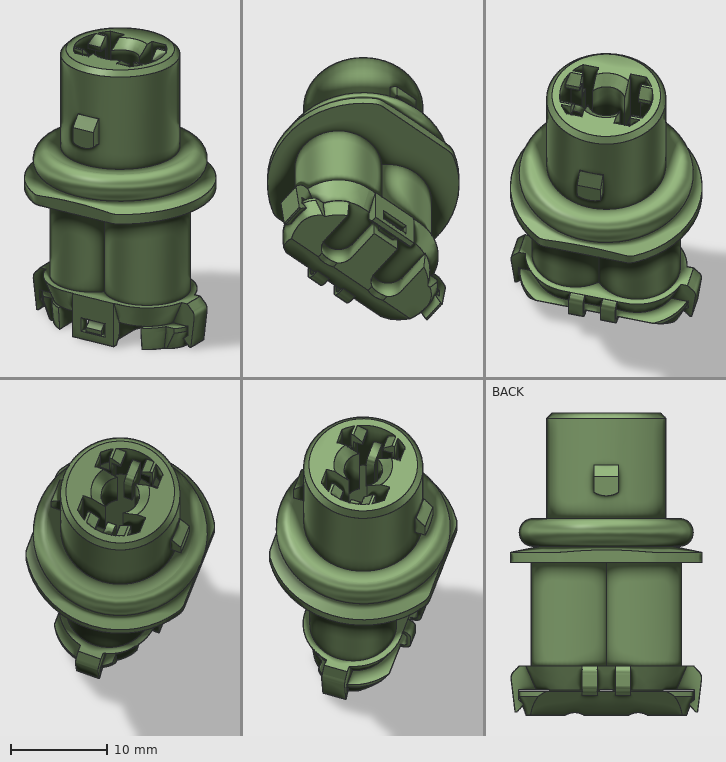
import cadquery as cq
import math

TOTAL_HEIGHT = 31.4
SMALL_OVERLAP = 0.15
CUT_MARGIN = 0.3

BARREL_DIAMETER = 12.4
BARREL_RADIUS = BARREL_DIAMETER / 2
BARREL_CHAMFER = 0.55
LUG_WIDTH = 2.5
LUG_REACH = 7.2
LUG_TOP_Z = 26.0
LUG_SLOPE_END_Z = 24.8
LUG_BOTTOM_Z = 22.8
LUG_BOTTOM_SIDE_Z = 23.15

RING_TUBE_RADIUS = 1.45
RING_OUTER_RADIUS = 9.05
RING_CENTRE_RADIUS = RING_OUTER_RADIUS - RING_TUBE_RADIUS
RING_CENTRE_Z = 19.0
FLANGE_RADIUS = 9.95
FLANGE_HALF_WIDTH = 8.73
FLANGE_CORNER_RADIUS = 1.8
FLANGE_BOTTOM_Z = 15.85
FLANGE_EDGE_Z = 16.92
FLANGE_TOP_Z = 17.55
FLANGE_CONE_TOP_RADIUS = 6.9

POCKET_RADIUS = 4.85
POCKET_HALF_WIDTH = 3.45
BRIDGE_HALF_WIDTH = 1.73
SLOT_OUTER_X = 3.15
SOCKET_DEPTH = 7.85
SHELF_DEPTH = 3.77
SHELF_INNER_Y = 2.4
BORE_RADIUS = 1.98
BORE_SINK_RADIUS = 3.05
BORE_SINK_DEPTH = 0.95
TOOTH_INNER_Y = 1.13
TOOTH_CREST_Y = 2.1
TOOTH_DROP = 0.95
TOOTH_DEPTH = 1.4
RAIL_WIDTH = 0.9
RAIL_TIP_X = 2.3
RAIL_TOP_DEPTH = 2.98

SHANK_RADIUS = 4.52
SHANK_CENTRE_X = 3.3
SHANK_BOTTOM_Z = 5.15

SKIRT_TOP_RADIUS = 5.2
SKIRT_BOTTOM_RADIUS = 4.18
SKIRT_BOTTOM_Z = 2.65

HOOK_HALF_WIDTH = 1.25
HOOK_STEP_Z = 1.63
HOOK_INNER_X = 9.1
HOOK_TOP_X = 9.05
HOOK_BEVEL_X = 9.7
HOOK_BEVEL_Z = 4.45
HOOK_SHOULDER_X = 9.85
HOOK_SHOULDER_Z = 4.15
HOOK_OUTER_X = 9.9
HOOK_OUTER_Z = 3.7
HOOK_TIP_OUTER_X = 9.48
HOOK_TIP_INNER_X = 9.3
HOOK_TIP_Z = 0.35
BARB_X = 8.55
BARB_Z = 1.15
PLATE_HALF_WIDTH = 2.55
PLATE_FACE_Y = -5.28
PLATE_BOTTOM_Z = 0.28
PLATE_BEVEL_Z = 1.22
PLATE_BEVEL_Y = -4.7
WINDOW_HALF_WIDTH = 1.48
WINDOW_BOTTOM_Z = 1.13

LID_TOP_Z = 2.48
LID_RIM_Z = 1.98
LID_RIM_RADIUS = 4.33
LID_BOTTOM_RADIUS = 4.15
RIB_FRONT_Y = -3.77
LID_BACK_TOP_Y = 4.95
LID_BACK_BOTTOM_Y = 2.07
TAB_RADIUS = 5.78
TAB_FOOT_RADIUS = 5.02
TAB_HALF_WIDTH = 2.2
TAB_SHOULDER_X = 8.05
TAB_FOOT_SHOULDER_X = 7.1
PEG_HALF_WIDTH = 0.95
PEG_TIP_Y = -5.15
PEG_TIP_Z = 1.63
PEG_BOTTOM_Z = 1.2
GUIDE_INNER_RADIUS = 1.75
GUIDE_OUTER_RADIUS = 2.6
CHANNEL_RADIUS = 1.88
CHANNEL_RISE = 0.28

STRAP_THICKNESS = 0.4
STRAP_OUTER_Y = 6.03
STRAP_INNER_X = 0.95
STRAP_OUTER_X = 2.5
STRAP_BEND_RADIUS = 0.95


def disc(radius, bottom_z, top_z, x=0.0, y=0.0):
    return cq.Workplane("XY", origin=(x, y, bottom_z)).circle(radius).extrude(top_z - bottom_z)


def block(x_range, y_range, z_range):
    lengths = [end - start for start, end in (x_range, y_range, z_range)]
    corner = (x_range[0], y_range[0], z_range[0])
    return cq.Workplane("XY").box(*lengths, centered=False).translate(corner)


def oblong(radius, z):
    """Sketch an oblong with its end centres on the shank cylinder axes."""
    plane = cq.Workplane("XY", origin=(0, 0, z))
    return plane.slot2D(2 * (SHANK_CENTRE_X + radius), 2 * radius)


def tapered_oblong(top_radius, bottom_radius, top_z, bottom_z):
    height = top_z - bottom_z
    angle = math.degrees(math.atan((top_radius - bottom_radius) / height))
    return oblong(top_radius, top_z).extrude(-height, taper=angle)


def mirrored_x(shape):
    return shape.union(shape.mirror("YZ"))


def mirrored_y(shape):
    return shape.union(shape.mirror("XZ"))


def barrel():
    body = disc(BARREL_RADIUS, FLANGE_BOTTOM_Z, TOTAL_HEIGHT)
    return body.faces(">Z").chamfer(BARREL_CHAMFER)


def lugs():
    root = BARREL_RADIUS - SMALL_OVERLAP
    side_profile = (
        cq.Workplane("YZ", origin=(-LUG_WIDTH / 2, 0, 0))
        .polyline([
            (root, LUG_BOTTOM_Z),
            (LUG_REACH, LUG_BOTTOM_Z),
            (LUG_REACH, LUG_SLOPE_END_Z),
            (BARREL_RADIUS, LUG_TOP_Z),
            (root, LUG_TOP_Z),
        ])
        .close()
        .extrude(LUG_WIDTH)
    )
    front_profile = (
        cq.Workplane("XZ")
        .moveTo(-LUG_WIDTH / 2, LUG_TOP_Z)
        .lineTo(-LUG_WIDTH / 2, LUG_BOTTOM_SIDE_Z)
        .threePointArc((0, LUG_BOTTOM_Z), (LUG_WIDTH / 2, LUG_BOTTOM_SIDE_Z))
        .lineTo(LUG_WIDTH / 2, LUG_TOP_Z)
        .close()
        .extrude(-LUG_REACH)
    )
    return mirrored_y(side_profile.intersect(front_profile))


def sealing_ring():
    top_z = RING_CENTRE_Z + RING_TUBE_RADIUS
    bottom_z = RING_CENTRE_Z - RING_TUBE_RADIUS
    return (
        cq.Workplane("XZ")
        .moveTo(0, bottom_z)
        .lineTo(RING_CENTRE_RADIUS, bottom_z)
        .threePointArc((RING_OUTER_RADIUS, RING_CENTRE_Z), (RING_CENTRE_RADIUS, top_z))
        .lineTo(0, top_z)
        .close()
        .revolve(360, (0, 0), (0, 1))
    )


def flange():
    height = FLANGE_TOP_Z - FLANGE_BOTTOM_Z
    outline = disc(FLANGE_RADIUS, FLANGE_BOTTOM_Z, FLANGE_TOP_Z).intersect(
        cq.Workplane("XY", origin=(0, 0, FLANGE_BOTTOM_Z))
        .rect(2 * FLANGE_RADIUS + CUT_MARGIN, 2 * FLANGE_HALF_WIDTH)
        .extrude(height)
    )
    outline = outline.edges("|Z").fillet(FLANGE_CORNER_RADIUS)
    crown = (
        cq.Workplane("XZ")
        .polyline([
            (0, FLANGE_BOTTOM_Z),
            (FLANGE_RADIUS, FLANGE_BOTTOM_Z),
            (FLANGE_RADIUS, FLANGE_EDGE_Z),
            (FLANGE_CONE_TOP_RADIUS, FLANGE_TOP_Z),
            (0, FLANGE_TOP_Z),
        ])
        .close()
        .revolve(360, (0, 0), (0, 1))
    )
    return outline.intersect(crown)


def socket_cut():
    floor_z = TOTAL_HEIGHT - SOCKET_DEPTH
    depth_range = (floor_z, TOTAL_HEIGHT)
    outline = disc(POCKET_RADIUS, *depth_range)
    pocket = outline.intersect(
        block((BRIDGE_HALF_WIDTH, POCKET_RADIUS), (-POCKET_HALF_WIDTH, POCKET_HALF_WIDTH), depth_range)
    )

    tooth_bottom_z = TOTAL_HEIGHT - TOOTH_DEPTH
    tooth = (
        cq.Workplane("YZ", origin=(SLOT_OUTER_X, 0, 0))
        .polyline([
            (TOOTH_INNER_Y, TOTAL_HEIGHT - TOOTH_DROP),
            (TOOTH_CREST_Y, TOTAL_HEIGHT),
            (SHELF_INNER_Y, TOTAL_HEIGHT),
            (SHELF_INNER_Y, floor_z),
            (TOOTH_CREST_Y, floor_z),
            (TOOTH_CREST_Y, tooth_bottom_z),
            (TOOTH_INNER_Y, tooth_bottom_z),
        ])
        .close()
        .extrude(POCKET_RADIUS - SLOT_OUTER_X)
    )
    shelf = block(
        (SLOT_OUTER_X, POCKET_RADIUS),
        (SHELF_INNER_Y, POCKET_HALF_WIDTH),
        (floor_z, TOTAL_HEIGHT - SHELF_DEPTH),
    )
    rail_top_z = TOTAL_HEIGHT - RAIL_TOP_DEPTH
    rail = block((RAIL_TIP_X, POCKET_RADIUS), (-RAIL_WIDTH / 2, RAIL_WIDTH / 2), (floor_z, rail_top_z))
    rail = rail.edges("|Y and <X and >Z").fillet(SLOT_OUTER_X - RAIL_TIP_X)
    pocket = pocket.cut(mirrored_y(tooth.union(shelf))).cut(rail)

    bore = disc(BORE_RADIUS, *depth_range)
    sink = (
        cq.Workplane("XY", origin=(0, 0, TOTAL_HEIGHT - BORE_SINK_DEPTH))
        .circle(BORE_RADIUS)
        .workplane(offset=BORE_SINK_DEPTH)
        .circle(BORE_SINK_RADIUS)
        .loft()
    )
    bridge = block(
        (-BRIDGE_HALF_WIDTH, BRIDGE_HALF_WIDTH), (-POCKET_HALF_WIDTH, POCKET_HALF_WIDTH), depth_range
    )
    return mirrored_x(pocket).union(bore.union(sink).intersect(bridge))


def shank():
    return mirrored_x(
        disc(SHANK_RADIUS, SHANK_BOTTOM_Z - SMALL_OVERLAP, FLANGE_BOTTOM_Z + SMALL_OVERLAP, SHANK_CENTRE_X)
    )


def skirt():
    return tapered_oblong(SKIRT_TOP_RADIUS, SKIRT_BOTTOM_RADIUS, SHANK_BOTTOM_Z, SKIRT_BOTTOM_Z)


def side_hooks():
    root_x = SHANK_CENTRE_X + SKIRT_BOTTOM_RADIUS - SMALL_OVERLAP
    hook = (
        cq.Workplane("XZ", origin=(0, HOOK_HALF_WIDTH, 0))
        .moveTo(root_x, SHANK_BOTTOM_Z)
        .lineTo(HOOK_TOP_X, SHANK_BOTTOM_Z)
        .lineTo(HOOK_BEVEL_X, HOOK_BEVEL_Z)
        .threePointArc((HOOK_SHOULDER_X, HOOK_SHOULDER_Z), (HOOK_OUTER_X, HOOK_OUTER_Z))
        .lineTo(HOOK_TIP_OUTER_X, HOOK_TIP_Z)
        .lineTo(HOOK_TIP_INNER_X, HOOK_TIP_Z)
        .lineTo(BARB_X, BARB_Z)
        .lineTo(HOOK_INNER_X, HOOK_STEP_Z)
        .lineTo(HOOK_INNER_X, SKIRT_BOTTOM_Z)
        .lineTo(root_x, SKIRT_BOTTOM_Z)
        .close()
        .extrude(2 * HOOK_HALF_WIDTH)
    )
    return mirrored_x(hook)


def catch_plate():
    plate = (
        cq.Workplane("YZ", origin=(-PLATE_HALF_WIDTH, 0, 0))
        .polyline([
            (PLATE_FACE_Y, SHANK_BOTTOM_Z),
            (PLATE_FACE_Y, PLATE_BOTTOM_Z),
            (PLATE_BEVEL_Y, PLATE_BOTTOM_Z),
            (-SKIRT_BOTTOM_RADIUS, PLATE_BEVEL_Z),
            (-SKIRT_BOTTOM_RADIUS, SKIRT_BOTTOM_Z),
            (SMALL_OVERLAP - SKIRT_BOTTOM_RADIUS, SKIRT_BOTTOM_Z),
            (SMALL_OVERLAP - SKIRT_BOTTOM_RADIUS, SHANK_BOTTOM_Z),
        ])
        .close()
        .extrude(2 * PLATE_HALF_WIDTH)
    )
    window = block(
        (-WINDOW_HALF_WIDTH, WINDOW_HALF_WIDTH),
        (PLATE_FACE_Y, SMALL_OVERLAP - SKIRT_BOTTOM_RADIUS),
        (WINDOW_BOTTOM_Z, SKIRT_BOTTOM_Z),
    )
    return plate.cut(window)


def tab_outline(plane, shoulder_x, end_x):
    return (
        plane.moveTo(SHANK_CENTRE_X, -TAB_HALF_WIDTH)
        .lineTo(shoulder_x, -TAB_HALF_WIDTH)
        .threePointArc((end_x, 0), (shoulder_x, TAB_HALF_WIDTH))
        .lineTo(SHANK_CENTRE_X, TAB_HALF_WIDTH)
        .close()
    )


def lid_tab():
    """Round-nosed tab at the lid end, narrowing below the rim."""
    end_x = SHANK_CENTRE_X + TAB_RADIUS
    foot_x = SHANK_CENTRE_X + TAB_FOOT_RADIUS
    rim_plane = cq.Workplane("XY", origin=(0, 0, LID_RIM_Z))
    rim = tab_outline(rim_plane, TAB_SHOULDER_X, end_x).extrude(LID_TOP_Z - LID_RIM_Z)
    foot = tab_outline(cq.Workplane("XY"), TAB_FOOT_SHOULDER_X, foot_x)
    nose = tab_outline(foot.workplane(offset=LID_RIM_Z), TAB_SHOULDER_X, end_x).loft(ruled=True)
    return rim.union(nose)


def lid_back_corner():
    """Conical rear corner of the lid."""
    cone = (
        cq.Workplane("XZ")
        .polyline([
            (0, 0),
            (TAB_FOOT_RADIUS, 0),
            (TAB_RADIUS, LID_RIM_Z),
            (TAB_RADIUS, LID_TOP_Z),
            (0, LID_TOP_Z),
        ])
        .close()
        .revolve(360, (0, 0), (0, 1))
    )
    quarter = block((0, TAB_RADIUS), (0, LID_BACK_TOP_Y), (0, LID_TOP_Z))
    return cone.intersect(quarter).translate((SHANK_CENTRE_X, 0, 0))


def lid():
    rim = oblong(LID_RIM_RADIUS, LID_RIM_Z).extrude(LID_TOP_Z - LID_RIM_Z)
    bowl = tapered_oblong(LID_RIM_RADIUS, LID_BOTTOM_RADIUS, LID_RIM_Z, 0)
    back = block((-SHANK_CENTRE_X, SHANK_CENTRE_X), (0, LID_BACK_TOP_Y), (0, LID_TOP_Z))
    body = rim.union(bowl).union(back).union(mirrored_x(lid_tab().union(lid_back_corner())))
    back_bevel = (
        cq.Workplane("YZ", origin=(-FLANGE_RADIUS, 0, 0))
        .polyline([
            (LID_BACK_BOTTOM_Y, 0),
            (LID_BACK_TOP_Y, LID_TOP_Z),
            (LID_BACK_TOP_Y, 0),
        ])
        .close()
        .extrude(2 * FLANGE_RADIUS)
    )
    rib_front = block(
        (-SHANK_CENTRE_X, SHANK_CENTRE_X), (-LID_RIM_RADIUS, RIB_FRONT_Y), (0, LID_TOP_Z)
    )
    return body.cut(back_bevel).cut(rib_front)


def wire_guides():
    """Half tubes joining the lid to the skirt behind each front notch."""
    tube = disc(GUIDE_OUTER_RADIUS, LID_RIM_Z, SKIRT_BOTTOM_Z + SMALL_OVERLAP, SHANK_CENTRE_X)
    front_half = block((0, FLANGE_RADIUS), (-GUIDE_OUTER_RADIUS, 0), (0, SHANK_BOTTOM_Z))
    return mirrored_x(tube.cut(front_half))


def notches():
    """Round-ended notches open to the front, leaving a rib between them."""
    round_end = disc(GUIDE_INNER_RADIUS, 0, SKIRT_BOTTOM_Z, SHANK_CENTRE_X)
    mouth = block(
        (SHANK_CENTRE_X - GUIDE_INNER_RADIUS, SHANK_CENTRE_X + GUIDE_INNER_RADIUS),
        (-LID_RIM_RADIUS, 0),
        (0, LID_TOP_Z),
    )
    return mirrored_x(round_end.union(mouth))


def peg():
    """Wedge on the lid that snaps into the window of the catch plate."""
    return (
        cq.Workplane("YZ", origin=(-PEG_HALF_WIDTH, 0, 0))
        .polyline([
            (RIB_FRONT_Y + SMALL_OVERLAP, LID_TOP_Z),
            (-LID_RIM_RADIUS, LID_TOP_Z),
            (PEG_TIP_Y, PEG_TIP_Z),
            (PEG_TIP_Y, PEG_BOTTOM_Z),
            (RIB_FRONT_Y + SMALL_OVERLAP, PEG_BOTTOM_Z),
        ])
        .close()
        .extrude(2 * PEG_HALF_WIDTH)
    )


def channels():
    """Shallow round channels along Y across the underside of the lid."""
    channel = (
        cq.Workplane("XZ", origin=(0, FLANGE_RADIUS, 0))
        .center(SHANK_CENTRE_X, CHANNEL_RISE - CHANNEL_RADIUS)
        .circle(CHANNEL_RADIUS)
        .extrude(2 * FLANGE_RADIUS)
    )
    return mirrored_x(channel)


def hinge_straps():
    bottom_z = LID_TOP_Z - STRAP_THICKNESS
    root_y = SKIRT_BOTTOM_RADIUS - SMALL_OVERLAP
    outer = block((STRAP_INNER_X, STRAP_OUTER_X), (root_y, STRAP_OUTER_Y), (bottom_z, SHANK_BOTTOM_Z))
    outer = outer.edges("|X and >Y").fillet(STRAP_BEND_RADIUS)
    inner = block(
        (STRAP_INNER_X, STRAP_OUTER_X),
        (root_y, STRAP_OUTER_Y - STRAP_THICKNESS),
        (LID_TOP_Z, SHANK_BOTTOM_Z - STRAP_THICKNESS),
    )
    inner = inner.edges("|X and >Y").fillet(STRAP_BEND_RADIUS - STRAP_THICKNESS)
    return mirrored_x(outer.cut(inner))


result = barrel()
for feature in (lugs, sealing_ring, flange):
    result = result.union(feature())
result = result.cut(socket_cut())
for feature in (shank, skirt, side_hooks, catch_plate, hinge_straps):
    result = result.union(feature())
under_parts = lid().union(wire_guides()).cut(notches()).union(peg()).cut(channels())
result = result.union(under_parts)